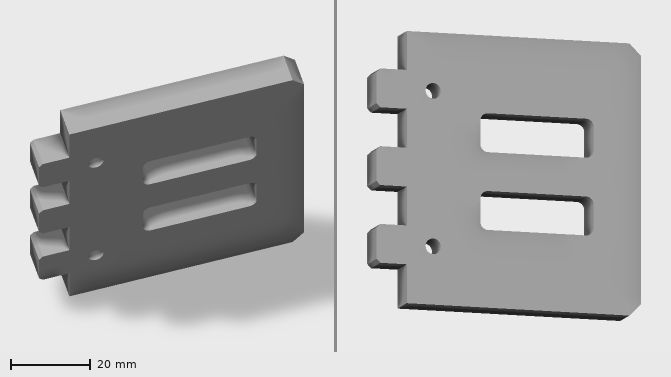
import cadquery as cq

thickness = 8.0
height = 70.0
body_width = 62.0
tab_length = 8.0
corner_chamfer = 3.0

tab_height = 10.0
tab_pitch = 2 * tab_height
tab_chamfer = 1.0

slot_length = 30.0
slot_height = 10.0
slot_pitch = 20.0
slot_corner_radius = 2.0
slot_setback = 12.5

hole_diameter = 4.0
hole_chamfer = 0.5
hole_pitch = 40.0
hole_setback = 7.0

back_y = (body_width + tab_length) / 2
shoulder_y = back_y - body_width
tab_end_y = shoulder_y - tab_length
slot_y = back_y - slot_setback - slot_length / 2
hole_y = shoulder_y + hole_setback


def block(y_min, y_max, z_center, z_size):
    """Box of full plate thickness between two Y positions."""
    y_size = y_max - y_min
    return cq.Workplane("XY").box(thickness, y_size, z_size).translate((0, y_min + y_size / 2, z_center))


def make_body():
    """Rectangular plate with both corners of its +Y edge bevelled."""
    return block(shoulder_y, back_y, 0, height).edges("|X and >Y").chamfer(corner_chamfer)


def make_tab(z_center):
    """Tab with the two edges of its free end bevelled."""
    return block(tab_end_y, shoulder_y, z_center, tab_height).edges("|X and <Y").chamfer(tab_chamfer)


def make_slot(z_center):
    """Cutter for one slot with rounded corners."""
    slot = block(slot_y - slot_length / 2, slot_y + slot_length / 2, z_center, slot_height)
    return slot.edges("|X").fillet(slot_corner_radius)


def make_hole(z_center):
    """Cutter for one through hole, bevelled at the -X face."""
    hole_radius = hole_diameter / 2
    mouth_radius = hole_radius + hole_chamfer
    profile = (
        cq.Workplane("XY")
        .moveTo(-thickness / 2, 0)
        .lineTo(-thickness / 2, mouth_radius)
        .lineTo(-thickness / 2 + hole_chamfer, hole_radius)
        .lineTo(thickness / 2, hole_radius)
        .lineTo(thickness / 2, 0)
        .close()
    )
    return profile.revolve(360, (0, 0, 0), (1, 0, 0)).translate((0, hole_y, z_center))


result = make_body()
for tab_z in (-tab_pitch, 0, tab_pitch):
    result = result.union(make_tab(tab_z))
for slot_z in (-slot_pitch / 2, slot_pitch / 2):
    result = result.cut(make_slot(slot_z))
for hole_z in (-hole_pitch / 2, hole_pitch / 2):
    result = result.cut(make_hole(hole_z))